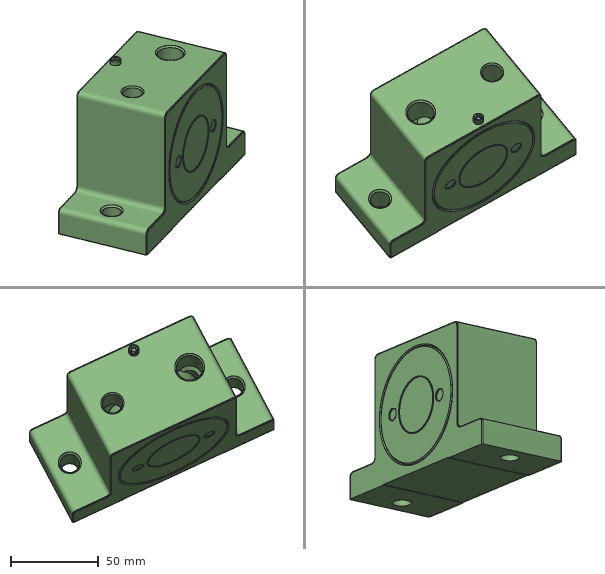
import cadquery as cq
import math

width = 56.0
foot_length = 128.0
block_length = 80.0
block_height = 80.0
foot_height = 16.0
corner_radius = 3.1
end_chamfer = 0.5
relief_length = 62.7
relief_depth = 0.4

cover_height = 40.0
seat_rim_diameter = 70.4
cover_diameter = 69.0
cover_rim_diameter = 67.6
hub_groove_outer = 33.3
hub_groove_inner = 32.5
hub_groove_depth = 0.4
spanner_hole_diameter = 7.2
spanner_hole_offset = 22.5
spanner_hole_depth = 0.8

rotor_diameter = 62.0

mounting_hole_diameter = 11.0
mounting_hole_offset = 52.0
mounting_rim_diameter = 13.0
inlet_diameter = 11.4
inlet_rim_diameter = 13.0
inlet_y = -25.0
inlet_depth = 17.4
inlet_tip_angle = 48.0
outlet_diameter = 15.0
outlet_rim_diameter = 16.9
outlet_passage_diameter = 11.0
outlet_y = 24.0
outlet_depth = 17.4

screw_diameter = 6.0
screw_rim_diameter = 4.9
screw_top = 83.0
screw_x = -22.9
screw_embedding = 1.3
socket_flats = 3.0
socket_depth = 1.9
socket_tip_angle = 118.0
socket_corners = socket_flats / math.cos(math.radians(30))


def revolved(profile, y):
    """Turn a (radius, Z) profile, closed along its axis, about a vertical axis."""
    closed = [(0, profile[0][1])] + profile
    end_radius, end_z = profile[-1]
    if end_radius > 0:
        closed.append((0, end_z))
    turned = cq.Workplane("XZ").polyline(closed).close().revolve(360, (0, 0), (0, 1))
    return turned.translate((0, y, 0))


def end_disc(diameter, depth, y=0.0):
    """Disc reaching inward from the -X end at cover height."""
    plane = cq.Workplane("YZ", origin=(-width / 2, y, cover_height))
    return plane.circle(diameter / 2).extrude(depth)


def housing():
    half_foot = foot_length / 2
    half_block = block_length / 2
    half_relief = relief_length / 2
    outline = [
        (-half_foot, 0), (-half_relief, 0), (-half_relief, relief_depth),
        (half_relief, relief_depth), (half_relief, 0), (half_foot, 0),
        (half_foot, foot_height), (half_block, foot_height), (half_block, block_height),
        (-half_block, block_height), (-half_block, foot_height), (-half_foot, foot_height),
    ]
    body = cq.Workplane("YZ").polyline(outline).close().extrude(width / 2, both=True)
    above_base = cq.selectors.BoxSelector(
        (-width, -foot_length, 2 * relief_depth), (width, foot_length, 2 * block_height))
    body = body.edges("|X").edges(above_base).fillet(corner_radius)
    return body.faces("<X or >X").edges(above_base).chamfer(end_chamfer)


def cover_cuts():
    """Cuts for the cover in the -X end."""
    seat_depth = (seat_rim_diameter - cover_diameter) / 2
    groove = (
        cq.Workplane("XY")
        .polyline([(-width / 2, seat_rim_diameter / 2), (-width / 2, cover_rim_diameter / 2),
                   (-width / 2 + seat_depth, cover_diameter / 2)])
        .close()
        .revolve(360, (0, 0), (1, 0))
        .translate((0, 0, cover_height))
    )
    hub_groove = end_disc(hub_groove_outer, hub_groove_depth).cut(
        end_disc(hub_groove_inner, hub_groove_depth))
    cuts = groove.union(hub_groove)
    for side in (-1, 1):
        cuts = cuts.union(end_disc(spanner_hole_diameter, spanner_hole_depth, side * spanner_hole_offset))
    return cuts


def countersunk(diameter, rim_diameter, top, lower_profile):
    """Profile of a hole with a 45 degree rim, ending in the given lower points."""
    radius = diameter / 2
    rim_radius = rim_diameter / 2
    return [(rim_radius, top), (radius, top - (rim_radius - radius))] + lower_profile


def mounting_hole(y):
    radius = mounting_hole_diameter / 2
    return revolved(
        countersunk(mounting_hole_diameter, mounting_rim_diameter, foot_height, [(radius, 0)]), y)


def air_ports():
    """Inlet and outlet, both stopped by the rotor surface."""
    inlet_radius = inlet_diameter / 2
    inlet_shoulder = block_height - inlet_depth
    inlet_tip_height = inlet_radius / math.tan(math.radians(inlet_tip_angle / 2))
    inlet = revolved(
        countersunk(inlet_diameter, inlet_rim_diameter, block_height,
                    [(inlet_radius, inlet_shoulder),
                     (0, inlet_shoulder - inlet_tip_height)]),
        inlet_y)

    outlet_radius = outlet_diameter / 2
    passage_radius = outlet_passage_diameter / 2
    outlet_shoulder = block_height - outlet_depth
    passage_top = outlet_shoulder - (outlet_radius - passage_radius)
    outlet = revolved(
        countersunk(outlet_diameter, outlet_rim_diameter, block_height,
                    [(outlet_radius, outlet_shoulder), (passage_radius, passage_top),
                     (passage_radius, cover_height)]),
        outlet_y)

    rotor = end_disc(rotor_diameter, width)
    return inlet.union(outlet).cut(rotor)


def screw():
    shank = cq.Workplane("XY", origin=(screw_x, 0, block_height - screw_embedding))
    shank = shank.circle(screw_diameter / 2).extrude(screw_top - block_height + screw_embedding)
    return shank.faces(">Z").chamfer((screw_diameter - screw_rim_diameter) / 2)


def socket():
    floor = screw_top - socket_depth
    tip_radius = socket_flats / 2
    tip_depth = tip_radius / math.tan(math.radians(socket_tip_angle / 2))
    hexagon = cq.Workplane("XY", origin=(screw_x, 0, floor)).polygon(6, socket_corners).extrude(socket_depth)
    drill_point = revolved([(tip_radius, floor), (0, floor - tip_depth)], 0).translate((screw_x, 0, 0))
    return hexagon.union(drill_point)


result = housing()
near_end_cuts = cover_cuts()
result = result.cut(near_end_cuts).cut(near_end_cuts.mirror("YZ"))
for side in (-1, 1):
    result = result.cut(mounting_hole(side * mounting_hole_offset))
result = result.cut(air_ports()).union(screw()).cut(socket())